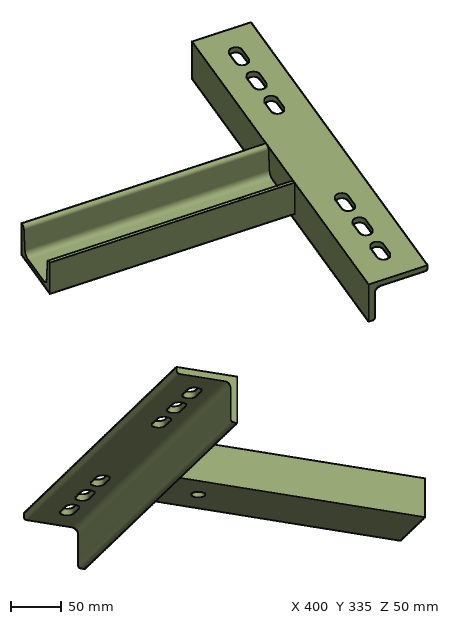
import cadquery as cq

ANGLE_LENGTH = 400.0
ANGLE_DEPTH = 65.0
ANGLE_HEIGHT = 50.0
ANGLE_THICKNESS = 7.0
ANGLE_ROOT_RADIUS = 6.5
ANGLE_TOE_RADIUS = 3.0

SLOT_LENGTH = 28.0
SLOT_WIDTH = 14.0
SLOT_PITCH = 40.0
SLOTS_PER_GROUP = 3
SLOT_END_OFFSET = 40.0
SLOT_BACK_OFFSET = 33.0

ARM_LENGTH = 270.0
ARM_WIDTH = 65.0
ARM_HEIGHT = 42.0
WEB_THICKNESS = 5.5
WALL_TOP_THICKNESS = 5.5
WALL_TAPER = 0.08
ARM_ROOT_RADIUS = 7.0
ARM_TOE_RADIUS = 4.0

HOLE_DIAMETER = 14.0
HOLE_DISTANCE = 40.0



def make_angle():
    """L-section bar along X with rounded root and toes."""
    inner_y = ANGLE_THICKNESS
    inner_z = -ANGLE_THICKNESS
    bar = (
        cq.Workplane("YZ")
        .workplane(offset=-ANGLE_LENGTH / 2)
        .polyline([
            (0, 0),
            (ANGLE_DEPTH, 0),
            (ANGLE_DEPTH, inner_z),
            (inner_y, inner_z),
            (inner_y, -ANGLE_HEIGHT),
            (0, -ANGLE_HEIGHT),
        ])
        .close()
        .extrude(ANGLE_LENGTH)
    )
    root = cq.NearestToPointSelector((0, inner_y, inner_z))
    bar = bar.edges(root).fillet(ANGLE_ROOT_RADIUS)
    for toe in [(0, ANGLE_DEPTH, inner_z), (0, inner_y, -ANGLE_HEIGHT)]:
        bar = bar.edges(cq.NearestToPointSelector(toe)).fillet(ANGLE_TOE_RADIUS)
    return bar.cut(make_slots())


def make_slots():
    """Cutters for both groups of flange slots."""
    outermost_x = ANGLE_LENGTH / 2 - SLOT_END_OFFSET
    slot_y = ANGLE_DEPTH - SLOT_BACK_OFFSET
    centres = [
        (side * (outermost_x - index * SLOT_PITCH), slot_y)
        for side in (-1, 1)
        for index in range(SLOTS_PER_GROUP)
    ]
    return (
        cq.Workplane("XY")
        .pushPoints(centres)
        .slot2D(SLOT_LENGTH, SLOT_WIDTH)
        .extrude(-ANGLE_THICKNESS)
    )


def make_arm():
    """U-section arm running forward (-Y) from the angle bar."""
    half_width = ARM_WIDTH / 2
    cavity_depth = ARM_HEIGHT - WEB_THICKNESS
    cavity_top = half_width - WALL_TOP_THICKNESS
    cavity_bottom = cavity_top - WALL_TAPER * cavity_depth
    arm = (
        cq.Workplane("XZ")
        .polyline([
            (-half_width, 0),
            (-half_width, -ARM_HEIGHT),
            (half_width, -ARM_HEIGHT),
            (half_width, 0),
            (cavity_top, 0),
            (cavity_bottom, -cavity_depth),
            (-cavity_bottom, -cavity_depth),
            (-cavity_top, 0),
        ])
        .close()
        .extrude(ARM_LENGTH)
    )
    middle_y = -ARM_LENGTH / 2
    for side in (-1, 1):
        root = cq.NearestToPointSelector((side * cavity_bottom, middle_y, -cavity_depth))
        arm = arm.edges(root).fillet(ARM_ROOT_RADIUS)
        toe = cq.NearestToPointSelector((side * cavity_top, middle_y, 0))
        arm = arm.edges(toe).fillet(ARM_TOE_RADIUS)
    hole = (
        cq.Workplane("XY")
        .center(0, -HOLE_DISTANCE)
        .circle(HOLE_DIAMETER / 2)
        .extrude(-ARM_HEIGHT)
    )
    return arm.cut(hole)


angle = make_angle()
arm = make_arm()
result = cq.Compound.makeCompound([angle.val(), arm.val()])